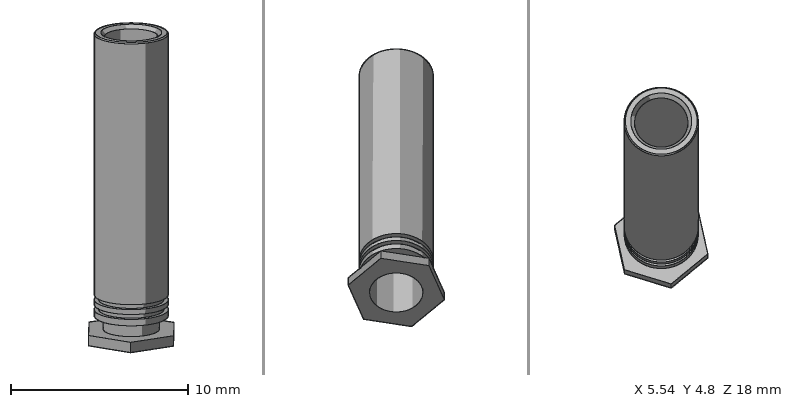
import cadquery as cq
import math

total_length = 18.0
flange_across_flats = 4.8
flange_thickness = 0.61
neck_diameter = 3.19
body_diameter = 4.2
body_start = 1.39
bore_diameter = 3.0
groove_diameter = 3.69
groove_width = 0.29
lower_groove_start = 1.76
upper_groove_start = 2.34
rim_chamfer = 0.07
countersink_depth = 0.22

flange_across_corners = flange_across_flats / math.cos(math.radians(30))


def cylinder(diameter, bottom, top):
    """Upright cylinder on the part axis between two heights."""
    return cq.Workplane("XY").workplane(offset=bottom).circle(diameter / 2).extrude(top - bottom)


def groove(bottom):
    """Ring of material removed from the outside of the body."""
    top = bottom + groove_width
    return cylinder(body_diameter, bottom, top).cut(cylinder(groove_diameter, bottom, top))


flange = cq.Workplane("XY").polygon(6, flange_across_corners).extrude(flange_thickness)

neck = cylinder(neck_diameter, flange_thickness, body_start)

body = cylinder(body_diameter, body_start, total_length).faces(">Z").edges().chamfer(rim_chamfer)
for groove_start in (lower_groove_start, upper_groove_start):
    body = body.cut(groove(groove_start))

bore = cylinder(bore_diameter, 0, total_length)
result = flange.union(neck).union(body).cut(bore)
result = result.faces(">Z").edges(cq.selectors.RadiusNthSelector(0)).chamfer(countersink_depth)